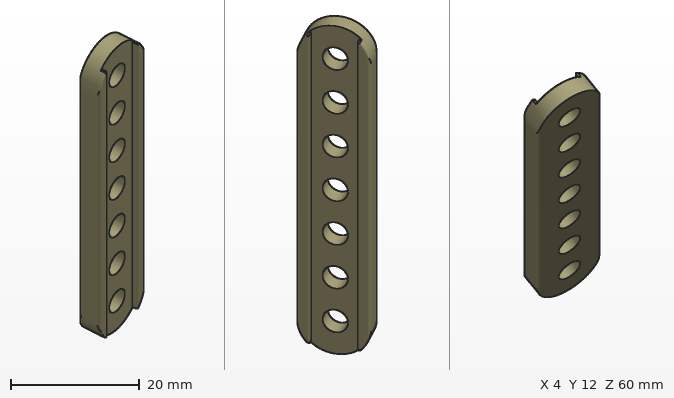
import cadquery as cq

length = 60.0
width = 12.0
plate_thickness = 3.0
total_thickness = 4.0
rail_inner_y = 3.9
rail_length = 56.4
side_round = 0.55
rail_edge_round = 0.25
hole_diameter = 4.1
hole_count = 7

half_width = width / 2
hole_span = length - width
hole_pitch = hole_span / (hole_count - 1)


def rounded_bar():
    """Round-ended bar lying in YZ, with its long straight edges rounded."""
    outline = cq.Workplane("YZ").slot2D(length, width, 90).extrude(total_thickness)
    section = (
        cq.Workplane("XY")
        .center(total_thickness / 2, 0)
        .rect(total_thickness, width)
        .extrude(length / 2, both=True)
        .edges("|Z")
        .fillet(side_round)
    )
    return outline.intersect(section)


def rail(side):
    """Rail space along one long side, with its inner and end top edges rounded."""
    rail_width = half_width - rail_inner_y
    return (
        cq.Workplane("XY")
        .box(total_thickness, rail_width, rail_length, centered=(False, True, True))
        .translate((0, side * (rail_inner_y + rail_width / 2), 0))
        .faces(">X")
        .edges("<Y or >Z or <Z" if side > 0 else ">Y or >Z or <Z")
        .fillet(rail_edge_round)
    )


def arc_edge_trim():
    """Bar with its whole rail-side rim rounded, limiting the rails at the end arcs."""
    return (
        cq.Workplane("YZ")
        .slot2D(length, width, 90)
        .extrude(total_thickness)
        .faces(">X")
        .edges()
        .fillet(rail_edge_round)
    )


def holes():
    """Row of through holes along the centre line."""
    return (
        cq.Workplane("YZ")
        .rarray(0.6, hole_pitch, 1, hole_count)
        .circle(hole_diameter / 2)
        .extrude(total_thickness)
    )


plate_space = cq.Workplane("XY").box(plate_thickness, width, length, centered=(False, True, True))
envelope = plate_space.union(rail(-1)).union(rail(1))

result = rounded_bar().intersect(arc_edge_trim()).intersect(envelope).cut(holes())